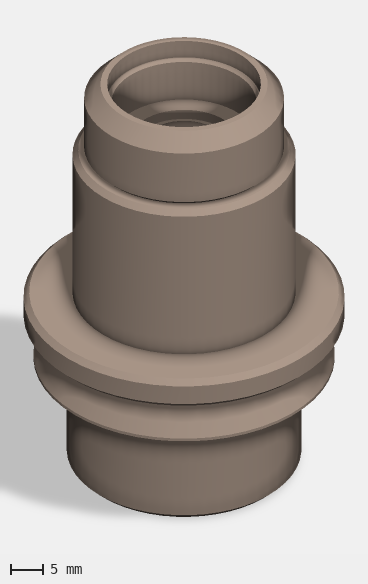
import cadquery as cq
import math

TOTAL_HEIGHT = 69.34

BASE_RADIUS = 36.37 / 2
BASE_CHAMFER = 0.95

SKIRT_RADIUS = 46.74 / 2
SKIRT_BOTTOM_Z = 18.29
SKIRT_RIM_HEIGHT = 0.5
SKIRT_HALF_ANGLE = math.radians(30)

FLANGE_RADIUS = 49.78 / 2
FLANGE_BOTTOM_Z = 25.4
FLANGE_THICKNESS = 5.08
FLANGE_CHAMFER = 0.89

BODY_RADIUS = 34.59 / 2
BODY_CHAMFER = 0.89
NOSE_LENGTH = 12.25

NOSE_RADIUS = 30.99 / 2
NOSE_TOP_CHAMFER = 2.54
NOSE_UNDERCUT = 0.64

MOUTH_RADIUS = 23.82 / 2
MOUTH_DEPTH = 3.05
MOUTH_LEDGE_WIDTH = 0.2
BORE_RADIUS = 22.53 / 2
BORE_DEPTH = 10.5
POCKET_RADIUS = 16.76 / 2
POCKET_DEPTH = 12.2

DOME_RADIUS = 15.05 / 2
DOME_EDGE_ANGLE = math.radians(45)


def revolve_about_z(points):
    """Revolve a closed (radius, z) outline about the Z axis."""
    return cq.Workplane("XZ").polyline(points).close().revolve(360, (0, 0, 0), (0, 1, 0))


def make_body():
    skirt_rim_z = SKIRT_BOTTOM_Z + SKIRT_RIM_HEIGHT
    skirt_rise = FLANGE_BOTTOM_Z - skirt_rim_z
    skirt_top_radius = SKIRT_RADIUS - skirt_rise * math.tan(SKIRT_HALF_ANGLE)
    flange_top_z = FLANGE_BOTTOM_Z + FLANGE_THICKNESS
    flange_face_radius = FLANGE_RADIUS - FLANGE_CHAMFER
    body_top_z = TOTAL_HEIGHT - NOSE_LENGTH
    return revolve_about_z(
        [
            (0, 0),
            (BASE_RADIUS - BASE_CHAMFER, 0),
            (BASE_RADIUS, BASE_CHAMFER),
            (BASE_RADIUS, SKIRT_BOTTOM_Z),
            (SKIRT_RADIUS, SKIRT_BOTTOM_Z),
            (SKIRT_RADIUS, skirt_rim_z),
            (skirt_top_radius, FLANGE_BOTTOM_Z),
            (flange_face_radius, FLANGE_BOTTOM_Z),
            (FLANGE_RADIUS, FLANGE_BOTTOM_Z + FLANGE_CHAMFER),
            (FLANGE_RADIUS, flange_top_z - FLANGE_CHAMFER),
            (flange_face_radius, flange_top_z),
            (BODY_RADIUS, flange_top_z),
            (BODY_RADIUS, body_top_z - BODY_CHAMFER),
            (BODY_RADIUS - BODY_CHAMFER, body_top_z),
            (NOSE_RADIUS - NOSE_UNDERCUT, body_top_z),
            (NOSE_RADIUS, body_top_z + NOSE_UNDERCUT),
            (NOSE_RADIUS, TOTAL_HEIGHT - NOSE_TOP_CHAMFER),
            (NOSE_RADIUS - NOSE_TOP_CHAMFER, TOTAL_HEIGHT),
            (0, TOTAL_HEIGHT),
        ]
    )


def make_bore():
    mouth_floor_z = TOTAL_HEIGHT - MOUTH_DEPTH
    ledge_inner_radius = MOUTH_RADIUS - MOUTH_LEDGE_WIDTH
    taper_depth = ledge_inner_radius - BORE_RADIUS
    bore_floor_z = TOTAL_HEIGHT - BORE_DEPTH
    pocket_floor_z = TOTAL_HEIGHT - POCKET_DEPTH
    return revolve_about_z(
        [
            (0, pocket_floor_z),
            (POCKET_RADIUS, pocket_floor_z),
            (POCKET_RADIUS, bore_floor_z),
            (BORE_RADIUS, bore_floor_z),
            (BORE_RADIUS, mouth_floor_z - taper_depth),
            (ledge_inner_radius, mouth_floor_z),
            (MOUTH_RADIUS, mouth_floor_z),
            (MOUTH_RADIUS, TOTAL_HEIGHT),
            (0, TOTAL_HEIGHT),
        ]
    )


def make_dome():
    """Spherical cap; DOME_EDGE_ANGLE is its slope where it meets the pocket floor."""
    sphere_radius = DOME_RADIUS / math.sin(DOME_EDGE_ANGLE)
    cap_height = sphere_radius * (1 - math.cos(DOME_EDGE_ANGLE))
    arc_middle = (
        sphere_radius * math.sin(DOME_EDGE_ANGLE / 2),
        sphere_radius * (math.cos(DOME_EDGE_ANGLE / 2) - math.cos(DOME_EDGE_ANGLE)),
    )
    return (
        cq.Workplane("XZ")
        .moveTo(0, 0)
        .lineTo(DOME_RADIUS, 0)
        .threePointArc(arc_middle, (0, cap_height))
        .close()
        .revolve(360, (0, 0, 0), (0, 1, 0))
        .translate((0, 0, TOTAL_HEIGHT - POCKET_DEPTH))
    )


result = make_body().cut(make_bore()).union(make_dome())